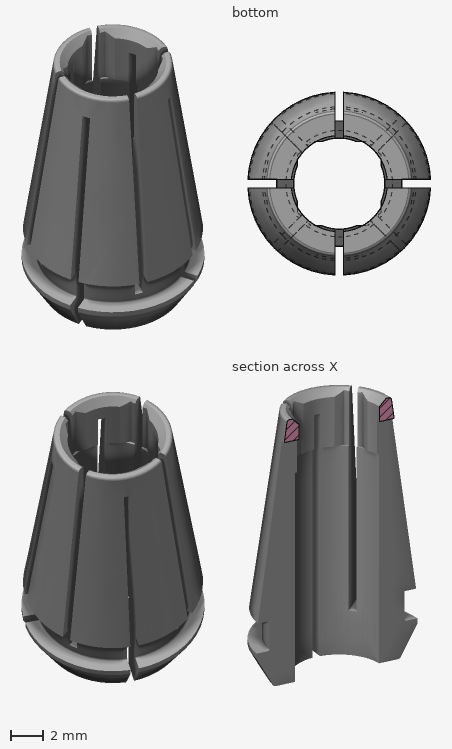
import cadquery as cq
import math

height = 18.0
rim_height = 2.12
flange_top = 2.48
taper_bottom = 4.5

flange_radius = 5.65
neck_radius = 4.75
taper_radius = 5.56
taper_angle = 8.0
base_angle = 30.0
edge_fillet = 0.2
neck_fillet = 0.1

bore_radius = 2.97
socket_bottom = 14.15
socket_half_width = 2.6
socket_relief_radius = 2.8
socket_corner_distance = 3.08
mouth_radius = 3.3
mouth_depth = 0.72

slot_width = 0.52
axial_slot_top = 16.49
diagonal_slot_bottom = 3.0

top_radius = taper_radius - (height - taper_bottom) * math.tan(math.radians(taper_angle))
base_radius = flange_radius - rim_height * math.tan(math.radians(base_angle))
slot_length = 3 * flange_radius


def collet_body():
    """Solid of revolution: base cone, flange, neck and long taper."""
    body = (
        cq.Workplane("XZ")
        .lineTo(base_radius, 0)
        .lineTo(flange_radius, rim_height)
        .lineTo(flange_radius, flange_top)
        .lineTo(neck_radius + neck_fillet, flange_top)
        .radiusArc((neck_radius, flange_top + neck_fillet), neck_fillet)
        .lineTo(neck_radius, taper_bottom)
        .lineTo(taper_radius, taper_bottom)
        .lineTo(top_radius, height)
        .lineTo(0, height)
        .close()
        .revolve(360, (0, 0, 0), (0, 1, 0))
    )
    return body.faces(">Z or <Z").edges().fillet(edge_fillet)


def lower_bore():
    return cq.Workplane("XY").circle(bore_radius).extrude(socket_bottom)


def drive_socket():
    """Square with cut corners, its four walls hollowed by a round relief."""
    depth = height - socket_bottom
    plane = cq.Workplane("XY").workplane(offset=socket_bottom)
    square_side = 2 * socket_half_width
    corner_side = 2 * socket_corner_distance
    square = plane.rect(square_side, square_side).extrude(depth)
    corner_cut = plane.transformed(rotate=(0, 0, 45)).rect(corner_side, corner_side).extrude(depth)
    relief = plane.circle(socket_relief_radius).extrude(depth)
    return square.intersect(corner_cut).union(relief)


def mouth_countersink():
    """45 degree cone leading into the socket."""
    return (
        cq.Workplane("XZ")
        .moveTo(0, height)
        .lineTo(mouth_radius, height)
        .lineTo(mouth_radius - mouth_depth, height - mouth_depth)
        .lineTo(0, height - mouth_depth)
        .close()
        .revolve(360, (0, 0, 0), (0, 1, 0))
    )


def crossed_slots(bottom, top, first_angle):
    """Two full-width slots at right angles, between two levels."""
    plane = cq.Workplane("XY").workplane(offset=bottom)
    slots = cq.Workplane("XY")
    for angle in (first_angle, first_angle + 90):
        turned = plane.transformed(rotate=(0, 0, angle))
        slots = slots.union(turned.rect(slot_length, slot_width).extrude(top - bottom))
    return slots


result = (
    collet_body()
    .cut(lower_bore())
    .cut(drive_socket())
    .cut(mouth_countersink())
    .cut(crossed_slots(0, axial_slot_top, 0))
    .cut(crossed_slots(diagonal_slot_bottom, height, 45))
)